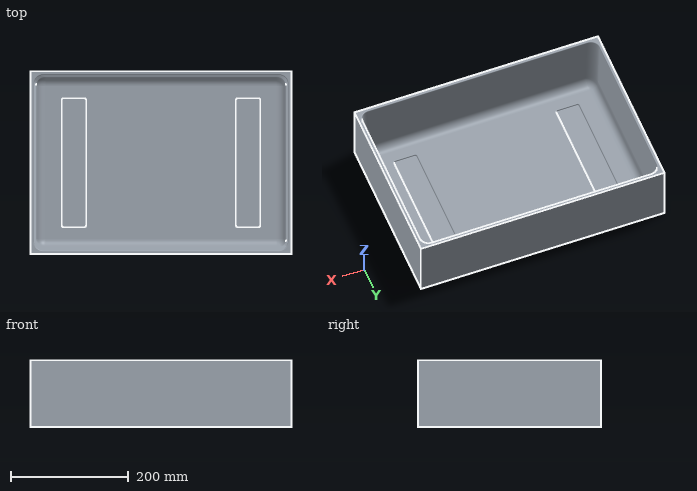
import cadquery as cq

INCH = 25.4

LENGTH = 17.5 * INCH
WIDTH = 12.25 * INCH
HEIGHT = 4.5 * INCH

WALL_THICKNESS_AT_TOP = 0.25 * INCH
FLOOR_THICKNESS = 0.21875 * INCH
WALL_DRAFT_DEGREES = 2.0
CAVITY_RADIUS = 0.625 * INCH
RIM_RADIUS = 0.0625 * INCH

RECESS_LENGTH = 1.625 * INCH
RECESS_WIDTH = 8.645 * INCH
RECESS_SPACING = 11.66 * INCH
RECESS_CORNER_RADIUS = 0.125 * INCH
RECESS_LIP_RADIUS = 0.0625 * INCH
RECESS_FLOOR_RADIUS = 0.03125 * INCH
RECESS_DEPTH = 0.1 * INCH

CENTRED_ON_BASE = (True, True, False)


def make_block():
    return cq.Workplane("XY").box(LENGTH, WIDTH, HEIGHT, centered=CENTRED_ON_BASE)


def make_cavity():
    """Solid filling the inside of the tray, narrowing from the rim down to the floor."""
    frustum = (
        cq.Workplane("XY", origin=(0, 0, HEIGHT))
        .rect(LENGTH - 2 * WALL_THICKNESS_AT_TOP, WIDTH - 2 * WALL_THICKNESS_AT_TOP)
        .extrude(FLOOR_THICKNESS - HEIGHT, taper=WALL_DRAFT_DEGREES)
    )
    return frustum.edges("not >Z").fillet(CAVITY_RADIUS)


def make_recess(centre_x):
    """Solid filling one recess: a rounded rectangle with a rounded bottom edge."""
    recess = (
        cq.Workplane("XY", origin=(centre_x, 0, FLOOR_THICKNESS - RECESS_DEPTH))
        .box(RECESS_LENGTH, RECESS_WIDTH, RECESS_DEPTH, centered=CENTRED_ON_BASE)
        .edges("|Z")
        .fillet(RECESS_CORNER_RADIUS)
    )
    return recess.faces("<Z").edges().fillet(RECESS_FLOOR_RADIUS)


def round_openings(tray, face_selector, radius):
    """Round the edges of every opening in the selected flat face."""
    openings = tray.faces(face_selector).val().innerWires()
    edges = [edge for opening in openings for edge in opening.Edges()]
    return tray.newObject(edges).fillet(radius)


tray = make_block().cut(make_cavity())
tray = round_openings(tray, ">Z", RIM_RADIUS)

for side in (-1, 1):
    tray = tray.cut(make_recess(side * RECESS_SPACING / 2))
floor_face = cq.selectors.NearestToPointSelector((0, 0, FLOOR_THICKNESS))
tray = round_openings(tray, floor_face, RECESS_LIP_RADIUS)

result = tray